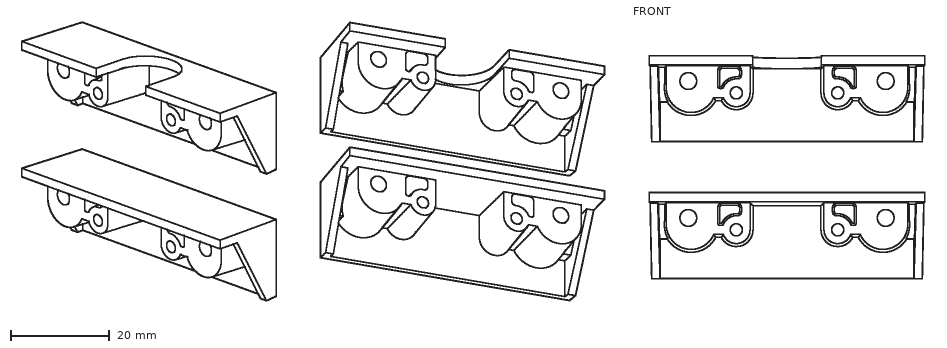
import cadquery as cq
import math


WIDTH = 55.8
DEPTH = 17.0
BACK_HEIGHT = 16.8
FOOT_DEPTH = 2.95
CHEEK_SLOPE = 30.0
OUTER_DRAFT = 2.0
TOTAL_HEIGHT = 45.2

SHELF_EDGE = 1.9
BACK_WALL = 1.55
CHEEK_EDGE = 1.45
INNER_DRAFT = 3.0

BOSS_FRONT = 13.05
BOSS_TOP = -0.85
LARGE_X = 19.4
LARGE_Z = -5.9
LARGE_R = 5.0
SMALL_X = 10.25
SMALL_Z = -7.0
SMALL_R = 2.8
BRIDGE_Z = -7.9
WEB_BOTTOM = -9.0
WEB_INSET = 3.35

LARGE_HOLE_X = 20.0
LARGE_HOLE_Z = -4.6
LARGE_HOLE_D = 3.4
SMALL_HOLE_D = 2.45
POCKET_INNER_X = 9.2
POCKET_OUTER_X = 14.0
POCKET_TOP = -1.6
POCKET_BOTTOM = -6.1
POCKET_CLEARANCE_R = 2.85
POCKET_CORNER_R = 0.85
POCKET_TIP_R = 0.45
POCKET_DRAFT = 2.0

NOTCH_R = 7.0
NOTCH_BACK = 2.3


def rise(length, degrees):
    """Sideways travel of a face inclined by the given angle over a length."""
    return length * math.tan(math.radians(degrees))


FRONT_TOP = rise(DEPTH, OUTER_DRAFT)
FRONT_UNDERSIDE = FRONT_TOP - SHELF_EDGE
FOOT_BOTTOM = -BACK_HEIGHT - rise(FOOT_DEPTH, OUTER_DRAFT)
BRACKET_HEIGHT = FRONT_TOP - FOOT_BOTTOM
BRACKET_SPACING = TOTAL_HEIGHT - BRACKET_HEIGHT
BOSS_DEPTH = BOSS_FRONT - BACK_WALL


def underside(depth):
    """Height of the shelf's underside at a distance from the back face."""
    return FRONT_UNDERSIDE - rise(DEPTH - depth, INNER_DRAFT)


def side_prism(points):
    """Prism across the full width from (distance from back, height) points."""
    outline = [(-depth, z) for depth, z in points]
    return cq.Workplane("YZ").polyline(outline).close().extrude(WIDTH / 2, both=True)


def plan_prism(back, back_half_width, front_half_width):
    """Vertical prism with a trapezoid plan, from a distance from the back to the front edge."""
    outline = [
        (-back_half_width, -back),
        (back_half_width, -back),
        (front_half_width, -DEPTH),
        (-front_half_width, -DEPTH),
    ]
    return cq.Workplane("XY").polyline(outline).close().extrude(2 * BRACKET_HEIGHT, both=True)


def slope_depth_at_face(back_z, draft, inset=0.0):
    """Depth where the sloping front, set back by the inset, meets a face rising to the front.

    The face starts at height back_z in the plane Y = 0 and rises at the draft angle.
    """
    tan_slope = math.tan(math.radians(CHEEK_SLOPE))
    tan_draft = math.tan(math.radians(draft))
    start = FOOT_DEPTH - inset + tan_slope * (back_z - FOOT_BOTTOM)
    return start / (1 - tan_slope * tan_draft)


def envelope():
    """Solid bracket: shelf and sloping front, with drafted ends."""
    slope_end = slope_depth_at_face(underside(0), INNER_DRAFT)
    profile = side_prism([
        (0, 0),
        (DEPTH, FRONT_TOP),
        (DEPTH, FRONT_UNDERSIDE),
        (slope_end, underside(slope_end)),
        (FOOT_DEPTH, FOOT_BOTTOM),
        (0, -BACK_HEIGHT),
    ])
    return profile.intersect(plan_prism(0, WIDTH / 2 - rise(DEPTH, OUTER_DRAFT), WIDTH / 2))


def cavity():
    """Space between the cheeks, below the shelf and in front of the back wall."""
    below_shelf = side_prism([
        (BACK_WALL, underside(BACK_WALL)),
        (DEPTH, FRONT_UNDERSIDE),
        (DEPTH, -2 * BACK_HEIGHT),
        (BACK_WALL, -2 * BACK_HEIGHT),
    ])
    front_half_width = WIDTH / 2 - CHEEK_EDGE
    back_half_width = front_half_width - rise(DEPTH - BACK_WALL, INNER_DRAFT)
    return below_shelf.intersect(plan_prism(BACK_WALL, back_half_width, front_half_width))


def boss_face():
    return cq.Workplane("XZ", origin=(0, -BOSS_FRONT, 0))


def boss():
    """Twin round boss, widening from its face to the back wall."""
    large_dx = math.sqrt(LARGE_R**2 - (BRIDGE_Z - LARGE_Z) ** 2)
    small_dx = math.sqrt(SMALL_R**2 - (BRIDGE_Z - SMALL_Z) ** 2)
    return (
        boss_face()
        .moveTo(SMALL_X - SMALL_R, BOSS_TOP)
        .lineTo(SMALL_X - SMALL_R, SMALL_Z)
        .threePointArc((SMALL_X, SMALL_Z - SMALL_R), (SMALL_X + small_dx, BRIDGE_Z))
        .lineTo(LARGE_X - large_dx, BRIDGE_Z)
        .threePointArc((LARGE_X, LARGE_Z - LARGE_R), (LARGE_X + LARGE_R, LARGE_Z))
        .lineTo(LARGE_X + LARGE_R, BOSS_TOP)
        .close()
        .extrude(-BOSS_DEPTH, taper=-INNER_DRAFT)
    )


def web():
    """Sloping block joining the boss to the cheek, running outwards past the cheek."""
    lower_depth = slope_depth_at_face(WEB_BOTTOM, INNER_DRAFT, WEB_INSET)
    upper_depth = slope_depth_at_face(0, 0, WEB_INSET)
    return (
        cq.Workplane("YZ", origin=(LARGE_X, 0, 0))
        .moveTo(0, WEB_BOTTOM)
        .lineTo(-lower_depth, WEB_BOTTOM + rise(lower_depth, INNER_DRAFT))
        .lineTo(-upper_depth, 0)
        .lineTo(0, 0)
        .close()
        .extrude(WIDTH / 2 - LARGE_X)
    )


def boss_holes():
    """Blind round holes from the boss face to the depth of the back wall."""
    large = boss_face().center(LARGE_HOLE_X, LARGE_HOLE_Z).circle(LARGE_HOLE_D / 2).extrude(-BOSS_DEPTH)
    small = boss_face().center(SMALL_X, SMALL_Z).circle(SMALL_HOLE_D / 2).extrude(-BOSS_DEPTH)
    return large.union(small)


def pocket():
    """Tapered pocket whose concave side follows the small hole."""
    middle = cq.Vector((POCKET_INNER_X + POCKET_OUTER_X) / 2, (POCKET_TOP + POCKET_BOTTOM) / 2)
    outline = (
        cq.Sketch()
        .push([middle])
        .rect(POCKET_OUTER_X - POCKET_INNER_X, POCKET_TOP - POCKET_BOTTOM)
        .reset()
        .push([(SMALL_X, SMALL_Z)])
        .circle(POCKET_CLEARANCE_R, mode="s")
        .reset()
        .vertices("<X or >Y")
        .fillet(POCKET_CORNER_R)
        .reset()
        .vertices("<Y")
        .fillet(POCKET_TIP_R)
    )
    return boss_face().placeSketch(outline).extrude(-BOSS_DEPTH, taper=POCKET_DRAFT)


def both_sides(shape):
    return shape.union(shape.mirror("YZ"))


def plain_bracket():
    outer = envelope()
    webs = both_sides(web()).intersect(outer)
    shell = outer.cut(cavity())
    return (
        shell.union(webs)
        .union(both_sides(boss()))
        .cut(both_sides(boss_holes()))
        .cut(both_sides(pocket()))
    )


def shelf_notch():
    """U-shaped cutter through the shelf, open to the front."""
    centre_y = -NOTCH_BACK - NOTCH_R
    return (
        cq.Workplane("XY", origin=(0, 0, underside(0)))
        .moveTo(-NOTCH_R, -DEPTH)
        .lineTo(-NOTCH_R, centre_y)
        .threePointArc((0, -NOTCH_BACK), (NOTCH_R, centre_y))
        .lineTo(NOTCH_R, -DEPTH)
        .close()
        .extrude(FRONT_TOP - underside(0))
    )


lower_bracket = plain_bracket().translate((0, 0, -BRACKET_SPACING))
notched_bracket = plain_bracket().cut(shelf_notch())

result = cq.Compound.makeCompound([notched_bracket.val(), lower_bracket.val()])